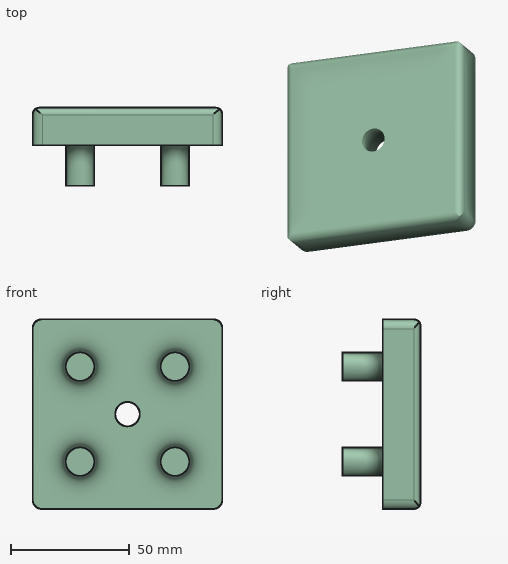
import cadquery as cq

plate_side = 80.0
plate_thickness = 16.0
corner_radius = 4.0
back_edge_radius = 3.0

pin_diameter = 12.0
pin_length = 17.0
pin_spacing = 40.0
hole_diameter = 10.2


def make_block():
    """Square block with sharp edges, its front face on Y = 0 and its back towards +Y."""
    return cq.Workplane("XY").box(
        plate_side, plate_thickness, plate_side, centered=(True, False, True)
    )


def make_plate():
    """Plate whose rounded back rims meet in mitres, trimmed by rounded corners along Y."""
    rimmed_block = make_block().faces(">Y").edges().fillet(back_edge_radius)
    cornered_block = make_block().edges("|Y").fillet(corner_radius)
    return rimmed_block.intersect(cornered_block)


def make_pins():
    """Four round pins in a square pattern, running from the front face towards -Y."""
    return (
        cq.Workplane("XZ")
        .rarray(pin_spacing, pin_spacing, 2, 2)
        .circle(pin_diameter / 2)
        .extrude(pin_length)
    )


def make_center_hole():
    """Cylinder along the plate's axis, cutting through its full thickness."""
    return cq.Workplane("XZ").circle(hole_diameter / 2).extrude(-plate_thickness)


result = make_plate().union(make_pins()).cut(make_center_hole())